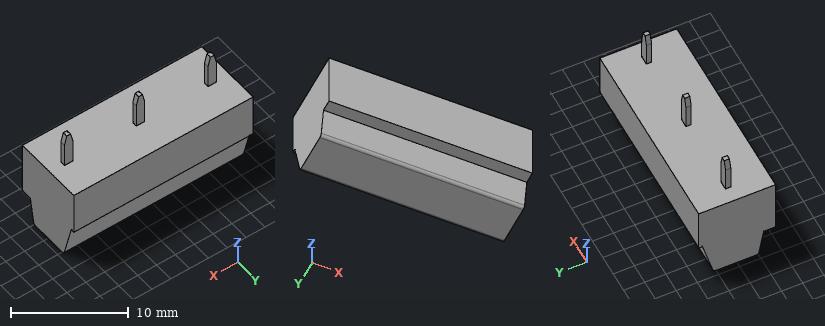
import cadquery as cq
import math

length = 19.05
depth = 7.3
body_height = 8.5
rear_ledge_height = 3.9
rear_ledge_depth = 0.36
rear_draft = math.radians(15)
front_ledge_height = 2.8
front_ledge_depth = 1.12
front_draft = math.radians(10)
bottom_edge_radius = 0.3

pin_count = 3
pin_pitch = 7.62
pin_width = 0.9
pin_tip_width = 0.4
pin_thickness = 0.5
pin_height = 3.5
pin_taper_height = 1.0
pin_rear_distance = 3.5


def make_housing():
    """Block with a ledge on each side and a narrower, tapered lower part."""
    front = -depth / 2
    rear = depth / 2
    front_neck = front + front_ledge_depth
    rear_neck = rear - rear_ledge_depth
    outline = [
        (front, body_height),
        (front, front_ledge_height),
        (front_neck, front_ledge_height),
        (front_neck + front_ledge_height * math.tan(front_draft), 0),
        (rear_neck - rear_ledge_height * math.tan(rear_draft), 0),
        (rear_neck, rear_ledge_height),
        (rear, rear_ledge_height),
        (rear, body_height),
    ]
    block = (
        cq.Workplane("YZ")
        .workplane(offset=-length / 2)
        .polyline(outline)
        .close()
        .extrude(length)
    )
    return block.faces("<Z").edges("|X").fillet(bottom_edge_radius)


def make_pin(x_center):
    """Flat pin standing on the top face, tapered in width toward its tip."""
    half_width = pin_width / 2
    half_tip = pin_tip_width / 2
    top = body_height + pin_height
    shoulder = top - pin_taper_height
    outline = [
        (-half_width, body_height),
        (half_width, body_height),
        (half_width, shoulder),
        (half_tip, top),
        (-half_tip, top),
        (-half_width, shoulder),
    ]
    y_center = depth / 2 - pin_rear_distance
    return (
        cq.Workplane("XZ")
        .polyline(outline)
        .close()
        .extrude(pin_thickness / 2, both=True)
        .translate((x_center, y_center, 0))
    )


result = make_housing()
for index in range(pin_count):
    pin_x = (index - (pin_count - 1) / 2) * pin_pitch
    result = result.union(make_pin(pin_x))